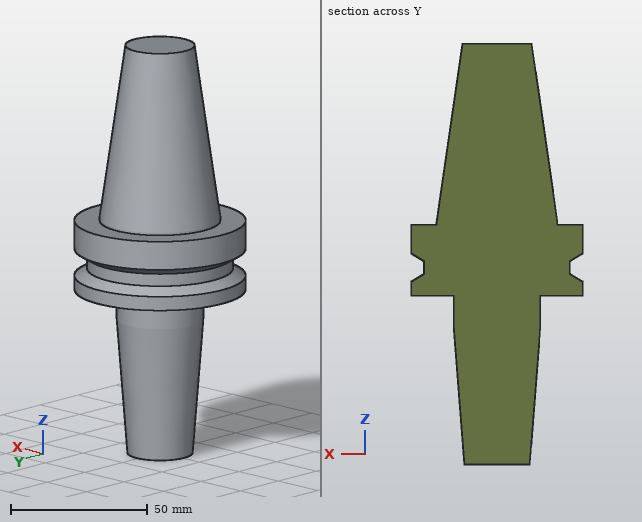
import cadquery as cq

total_length = 154.3
flange_diameter = 63.0

taper_length = 65.5
taper_large_diameter = 44.5
taper_small_diameter = 25.5
neck_length = 1.0

flange_thickness = 26.0
upper_rim_thickness = 10.6
lower_rim_thickness = 5.2
groove_diameter = 53.7
groove_floor_width = 4.6

nose_diameter = 32.0
nose_cylinder_length = 11.1
tip_diameter = 24.0

taper_base = total_length - taper_length
flange_top = taper_base - neck_length
flange_bottom = flange_top - flange_thickness
groove_top = flange_top - upper_rim_thickness
groove_bottom = flange_bottom + lower_rim_thickness
groove_side_height = (groove_top - groove_bottom - groove_floor_width) / 2
nose_cone_top = flange_bottom - nose_cylinder_length

profile = [
    (0, 0),
    (tip_diameter / 2, 0),
    (nose_diameter / 2, nose_cone_top),
    (nose_diameter / 2, flange_bottom),
    (flange_diameter / 2, flange_bottom),
    (flange_diameter / 2, groove_bottom),
    (groove_diameter / 2, groove_bottom + groove_side_height),
    (groove_diameter / 2, groove_top - groove_side_height),
    (flange_diameter / 2, groove_top),
    (flange_diameter / 2, flange_top),
    (taper_large_diameter / 2, flange_top),
    (taper_large_diameter / 2, taper_base),
    (taper_small_diameter / 2, total_length),
    (0, total_length),
]

result = cq.Workplane("XZ").polyline(profile).close().revolve(360, (0, 0, 0), (0, 1, 0))